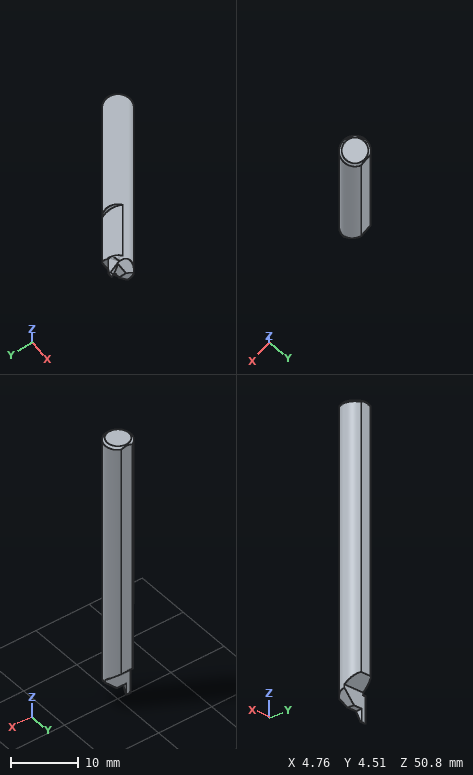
import cadquery as cq
import math

shank_diameter = 4.7625
shank_radius = shank_diameter / 2
overall_length = 50.8
flat_distance = 2.13
top_chamfer = 0.4

neck_bottom = 4.5
neck_top = 19.0
neck_depth = 0.5
neck_radius = 4.0

rake_top = 4.9
rake_runout_angle = 41.0

body_bottom = 2.2
corner_chamfer = 2.15

clearance_angle = 26.0
land_width = 0.35
land_height = 0.2

nib_width = 0.8
nib_clearance_depth = 1.5
nib_inner_taper = 6.0
nib_side_radius = 4.0
side_runout_angle = 45.0
side_ramp_angle = 15.0

nib_edge = (-shank_radius, 0)
nib_side_end = (-math.sqrt(shank_radius**2 - nib_clearance_depth**2), -nib_clearance_depth)

margin = 1.0
reach = shank_radius + margin


def make_shank():
    shank = cq.Workplane("XY").circle(shank_radius).extrude(overall_length)
    shank = shank.faces(">Z").chamfer(top_chamfer)
    flat_cutter = (
        cq.Workplane("XY")
        .box(2 * reach, reach, overall_length, centered=(True, False, False))
        .translate((0, flat_distance, 0))
    )
    return shank.cut(flat_cutter)


def make_neck_cutter():
    """Everything on the -X side outside the larger neck radius."""
    length = neck_top - neck_bottom
    neck_center_x = neck_radius - shank_radius + neck_depth
    block = cq.Workplane("XY").box(reach, 2 * reach, length, centered=(False, True, False))
    block = block.translate((-reach, 0, 0))
    kept = cq.Workplane("XY").center(neck_center_x, 0).circle(neck_radius).extrude(length)
    return block.cut(kept).translate((0, 0, neck_bottom))


def make_rake_cutter():
    rise = reach * math.tan(math.radians(rake_runout_angle))
    return (
        cq.Workplane("YZ")
        .polyline([(0, -margin), (0, rake_top), (reach, rake_top + rise), (reach, -margin)])
        .close()
        .extrude(reach, both=True)
    )


def make_clearance_cutter():
    outer_height = land_height + (reach - land_width) / math.tan(math.radians(clearance_angle))
    return (
        cq.Workplane("YZ")
        .polyline([
            (0, 0),
            (-land_width, land_height),
            (-reach, outer_height),
            (-reach, -margin),
            (0, -margin),
        ])
        .close()
        .extrude(reach, both=True)
    )


def make_body_end_cutter():
    """Shortens the body beside the nib; the inner side of the nib tapers toward -Y."""
    nib_inner_x = nib_width - shank_radius
    taper_shift = reach * math.tan(math.radians(nib_inner_taper))
    return (
        cq.Workplane("XY")
        .workplane(offset=-margin)
        .polyline([
            (nib_inner_x, 0),
            (nib_inner_x - taper_shift, -reach),
            (reach, -reach),
            (reach, 0),
        ])
        .close()
        .extrude(body_bottom + margin)
    )


def make_corner_cutter():
    leg = corner_chamfer + margin
    return (
        cq.Workplane("XZ")
        .polyline([(reach, body_bottom), (reach, body_bottom + leg), (reach - leg, body_bottom)])
        .close()
        .extrude(reach, both=True)
    )


def make_nib_side_cutter(bulge):
    """Prism outside the nib side: a flat chord, or an arc bulging outward from that chord."""
    outline = cq.Workplane("XY").workplane(offset=-margin).moveTo(*nib_edge)
    if bulge:
        outline = outline.radiusArc(nib_side_end, -nib_side_radius)
    else:
        outline = outline.lineTo(*nib_side_end)
    return (
        outline
        .lineTo(-reach, -nib_clearance_depth)
        .lineTo(-reach, 0)
        .close()
        .extrude(neck_bottom + margin)
    )


def make_side_ramp_space():
    """Space outside the ramp plane that carries the flat lower side up to the bulged upper side."""
    chord = cq.Vector(*nib_side_end) - cq.Vector(*nib_edge)
    chord_direction = chord.normalized()
    flat_normal = chord_direction.cross(cq.Vector(0, 0, 1))
    runout = math.radians(side_runout_angle)
    runout_line = chord_direction * math.cos(runout) - cq.Vector(0, 0, math.sin(runout))
    ramp = math.radians(side_ramp_angle)
    uphill = chord_direction * math.sin(runout) + cq.Vector(0, 0, math.cos(runout))
    ramp_normal = flat_normal * math.cos(ramp) - uphill * math.sin(ramp)
    ramp_start = cq.Vector(*nib_edge, neck_bottom)
    ramp_plane = cq.Plane(origin=ramp_start, xDir=runout_line, normal=ramp_normal)
    ramp_size = 4 * reach
    return cq.Workplane(ramp_plane).rect(ramp_size, ramp_size).extrude(reach)


def make_side_clearance_cutter():
    flat_lower_side = make_nib_side_cutter(bulge=False).intersect(make_side_ramp_space())
    return make_nib_side_cutter(bulge=True).union(flat_lower_side)


result = (
    make_shank()
    .cut(make_neck_cutter())
    .cut(make_rake_cutter())
    .cut(make_clearance_cutter())
    .cut(make_body_end_cutter())
    .cut(make_corner_cutter())
    .cut(make_side_clearance_cutter())
)